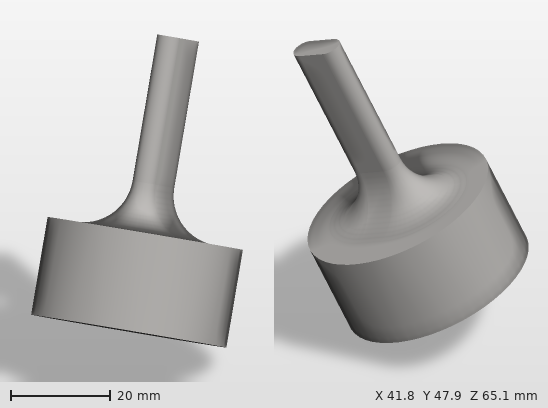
import cadquery as cq

base_diameter = 40.0
base_height = 20.0
stem_width = 5.0
stem_flat_length = 6.0
stem_height = 40.0
root_fillet_radius = 10.0
lean_about_x = -24.2
lean_about_y = -6.1

stem_length = stem_flat_length + stem_width


def make_base():
    """Plain disc standing on the XY plane."""
    return cq.Workplane("XY").circle(base_diameter / 2).extrude(base_height)


def add_stem(body):
    """Stem of obround section, long along Y, blended into the base by a wide fillet."""
    stem = (
        cq.Workplane("XY")
        .workplane(offset=base_height)
        .slot2D(stem_length, stem_width, 90)
        .extrude(stem_height)
    )
    root_edge = cq.selectors.NearestToPointSelector((stem_width / 2, 0, base_height))
    return body.union(stem).edges(root_edge).fillet(root_fillet_radius)


def lean(body):
    """Tip the upright part about X, then about Y."""
    tipped = body.rotate((0, 0, 0), (1, 0, 0), lean_about_x)
    return tipped.rotate((0, 0, 0), (0, 1, 0), lean_about_y)


result = lean(add_stem(make_base()))